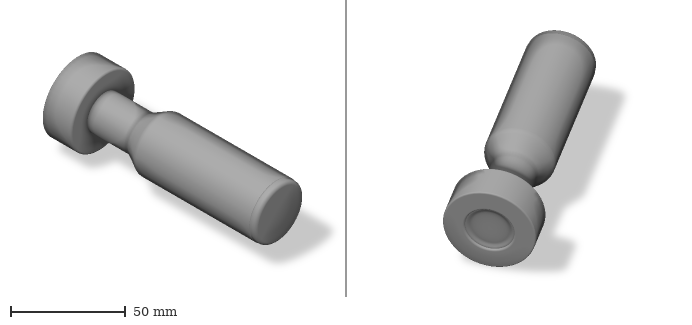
import cadquery as cq
import math

length = 120.0

head_diameter = 42.0
head_width = 17.0
front_edge_radius = 0.7
rear_edge_radius = (head_diameter - 40.0) / 2
bore_radius = 11.2
bore_rim_round = 1.0

neck_radius = 21.0 / 2
grip_radius = 32.0 / 2
end_radius = 31.5 / 2
taper_angle = math.radians(30)
taper_start = 40.0
taper_blend_radius = 5.0
taper_end = taper_start + (grip_radius - neck_radius) / math.tan(taper_angle)
end_step_tangent = 116.9
end_step_blend = 0.6
end_round = 1.7

dish_cone_outer_radius = 10.3
dish_cone_inner_radius = 9.5
dish_floor_radius = 8.5
dish_angle = math.radians(28)


def arc_drop(outer, inner):
    """Depth of a dish arc that turns from flat to the cone angle."""
    return (outer - inner) * math.tan(dish_angle / 2)


dish_cone_start = bore_rim_round + arc_drop(bore_radius, dish_cone_outer_radius)
dish_cone_depth = (dish_cone_outer_radius - dish_cone_inner_radius) * math.tan(dish_angle)
dish_cone_end = dish_cone_start + dish_cone_depth
dish_depth = dish_cone_end + arc_drop(dish_cone_inner_radius, dish_floor_radius)
dish_shoulder_arc = (bore_radius - dish_cone_outer_radius) / math.sin(dish_angle)


def revolve_about_x(profile):
    return profile.close().revolve(360, (0, 0, 0), (1, 0, 0))


def make_head():
    """Rounded disc with a straight bore whose front rim is rounded."""
    disc = (
        cq.Workplane("YZ")
        .circle(head_diameter / 2)
        .extrude(head_width)
        .faces("<X")
        .edges()
        .fillet(front_edge_radius)
        .faces(">X")
        .edges()
        .fillet(rear_edge_radius)
    )
    bore = cq.Workplane("YZ").circle(bore_radius).extrude(head_width)
    return disc.cut(bore).faces("<X").edges(cq.selectors.RadiusNthSelector(0)).fillet(bore_rim_round)


def make_stud():
    """Dished seat in the head, neck, blended taper, grip and slightly reduced rounded end."""
    blend_tangent = taper_blend_radius * math.tan(taper_angle / 2)
    blend_x = blend_tangent * math.cos(taper_angle)
    blend_r = blend_tangent * math.sin(taper_angle)
    step_rise = grip_radius - end_radius
    step_run = math.sqrt(end_step_blend**2 - (end_step_blend - step_rise) ** 2)

    return revolve_about_x(
        cq.Workplane("XY")
        .moveTo(dish_depth, 0)
        .lineTo(dish_depth, dish_floor_radius)
        .tangentArcPoint((dish_cone_end, dish_cone_inner_radius), relative=False)
        .lineTo(dish_cone_start, dish_cone_outer_radius)
        .radiusArc((bore_rim_round, bore_radius), dish_shoulder_arc)
        .lineTo(head_width, bore_radius)
        .lineTo(head_width, neck_radius)
        .lineTo(taper_start - blend_tangent, neck_radius)
        .tangentArcPoint((taper_start + blend_x, neck_radius + blend_r), relative=False)
        .lineTo(taper_end - blend_x, grip_radius - blend_r)
        .tangentArcPoint((taper_end + blend_tangent, grip_radius), relative=False)
        .lineTo(end_step_tangent - step_run, grip_radius)
        .radiusArc((end_step_tangent, end_radius), -end_step_blend)
        .lineTo(length - end_round, end_radius)
        .tangentArcPoint((length, end_radius - end_round), relative=False)
        .lineTo(length, 0)
    )


head = make_head()
stud = make_stud()

result = cq.Compound.makeCompound([head.val(), stud.val()])